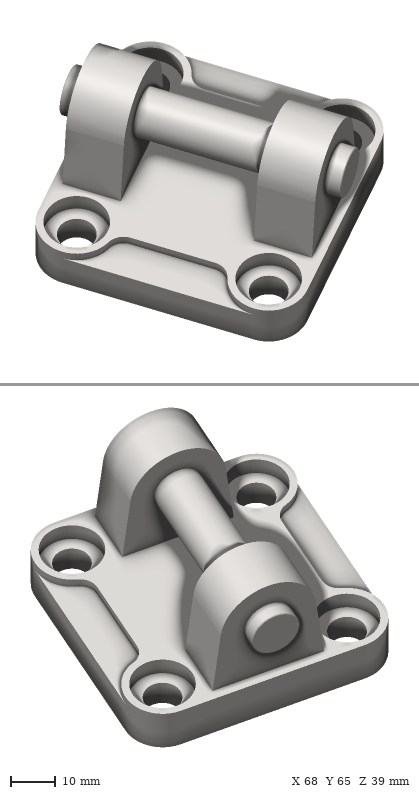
import cadquery as cq
import math

plate_side = 65.0
plate_height = 11.0
corner_radius = 9.3
hole_offset = plate_side / 2 - corner_radius
hole_diameter = 9.0
counterbore_diameter = 15.0
counterbore_depth = 4.4

step_depth = 2.3
step_fillet = 4.4

lug_width = 14.0
lug_outer_x = 30.1
lug_base_length = 28.0
lug_radius = 12.05
pin_length = 68.0
pin_diameter = 12.0
pin_height = 27.0
pin_chamfer = 0.2


def lower_slab():
    slab_height = plate_height - step_depth
    slab = cq.Workplane("XY").box(plate_side, plate_side, slab_height, centered=(True, True, False))
    return slab.edges("|Z").fillet(corner_radius)


def upper_layer():
    """Raised layer: four round bosses blended into a web that is set back along the -Y and +Y edges."""
    centre_distance = corner_radius + step_fillet
    fillet_angle = math.asin(step_fillet / centre_distance)
    fillet_x = hole_offset - centre_distance * math.cos(fillet_angle)
    meet_x = hole_offset - corner_radius * math.cos(fillet_angle)
    meet_y = hole_offset + corner_radius * math.sin(fillet_angle)
    fillet_mid_angle = (fillet_angle + math.pi / 2) / 2
    fillet_mid_x = fillet_x + step_fillet * math.cos(fillet_mid_angle)
    fillet_mid_y = hole_offset + step_fillet * (1 - math.sin(fillet_mid_angle))
    boss_mid = hole_offset + corner_radius / math.sqrt(2)
    edge_x = plate_side / 2

    outline = cq.Workplane("XY", origin=(0, 0, plate_height - step_depth)).moveTo(edge_x, -hole_offset)
    for turn in (1, -1):
        outline = (
            outline.lineTo(turn * edge_x, turn * hole_offset)
            .threePointArc((turn * boss_mid, turn * boss_mid), (turn * meet_x, turn * meet_y))
            .threePointArc((turn * fillet_mid_x, turn * fillet_mid_y), (turn * fillet_x, turn * hole_offset))
            .lineTo(-turn * fillet_x, turn * hole_offset)
            .threePointArc((-turn * fillet_mid_x, turn * fillet_mid_y), (-turn * meet_x, turn * meet_y))
            .threePointArc((-turn * boss_mid, turn * boss_mid), (-turn * edge_x, turn * hole_offset))
        )
    return outline.close().extrude(step_depth)


def lug(start_x):
    """Tapered lug whose flanks run tangent into its round top."""
    foot = lug_base_length / 2
    rise = pin_height - plate_height
    tangent_angle = math.acos(lug_radius / math.hypot(foot, rise)) - math.atan2(rise, foot)
    tangent_y = lug_radius * math.cos(tangent_angle)
    tangent_z = pin_height + lug_radius * math.sin(tangent_angle)
    return (
        cq.Workplane("YZ", origin=(start_x, 0, 0))
        .moveTo(-foot, plate_height)
        .lineTo(foot, plate_height)
        .lineTo(tangent_y, tangent_z)
        .threePointArc((0, pin_height + lug_radius), (-tangent_y, tangent_z))
        .close()
        .extrude(lug_width)
    )


def pin():
    return (
        cq.Workplane("YZ", origin=(-pin_length / 2, 0, pin_height))
        .circle(pin_diameter / 2)
        .extrude(pin_length)
        .faces("<X or >X")
        .chamfer(pin_chamfer)
    )


result = lower_slab().union(upper_layer())
result = (
    result.faces(">Z")
    .workplane(origin=(0, 0, plate_height))
    .rect(2 * hole_offset, 2 * hole_offset, forConstruction=True)
    .vertices()
    .cboreHole(hole_diameter, counterbore_diameter, counterbore_depth)
)
for lug_start_x in (-lug_outer_x, lug_outer_x - lug_width):
    result = result.union(lug(lug_start_x))
result = result.union(pin())